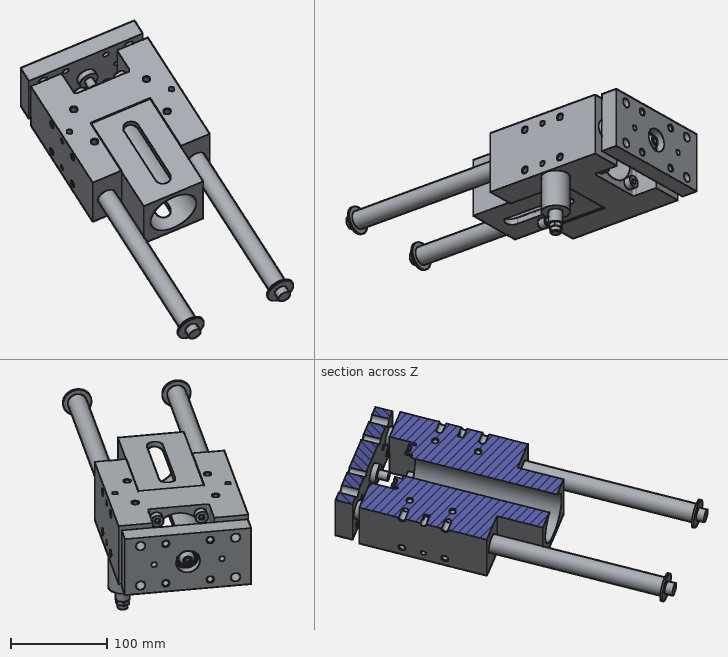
import cadquery as cq
BITE = 0.5

PLATE_THICKNESS = 19.0
PLATE_WIDTH = 133.2
PLATE_HEIGHT = 66.5

HOUSING_FRONT = 26.7
HOUSING_LENGTH = 139.8
HOUSING_WIDTH = 137.0
HOUSING_HEIGHT = 68.8
HOUSING_BACK = HOUSING_FRONT + HOUSING_LENGTH
HOUSING_TOP = HOUSING_HEIGHT / 2
HOUSING_SIDE = HOUSING_WIDTH / 2
CENTRE_X = 97.0

MOUTH_DEPTH = 30.0
MOUTH_WIDTH = 64.8
MOUTH_CORNER_RADIUS = 3.0
MOUTH_BACK = HOUSING_FRONT + MOUTH_DEPTH
BORE_DIAMETER = 53.5

BOLT_OFFSET = 23.5
THREAD_DIAMETER = 6.5
THREAD_MOUTH_DIAMETER = 8.0
DOWEL_DIAMETER = 6.0
BLIND_DEPTH = 12.8
DRILL_POINT = 2.0
TOP_THREAD_Y = 42.5
TOP_DOWEL_Y = 59.5
PLATE_BOLT_Y = 50.0
PLATE_BOLT_DIAMETER = 10.0
PLATE_DOWEL_Y = 36.0

SCREW_DIAMETER = 13.0
SCREW_HEIGHT = 7.7
SCREW_SOCKET = 6.5
SCREW_SOCKET_DEPTH = 3.5

BLOCK_LENGTH = 119.5
BLOCK_WIDTH = 69.5
BLOCK_HEIGHT = 65.0
SLOT_START = 112.7
SLOT_LENGTH = 88.2
SLOT_WIDTH = 17.0

ROD_Y = 52.5
ROD_DIAMETER = 20.0
ROD_END = 355.5
FLANGE_DIAMETER = 30.0
FLANGE_THICKNESS = 2.2
STUB_DIAMETER = 14.0
TOTAL_LENGTH = 366.0

RECESS_DIAMETER = 25.3
RECESS_DEPTH = 9.5
WASHER_DIAMETER = 21.0
WASHER_THICKNESS = 2.0
HEAD_DIAMETER = 17.5
HEAD_FACE_DIAMETER = 10.0
HEAD_FRONT = 2.2
DOME_BULGE = 0.7
HEAD_SOCKET = 7.0
HEAD_SOCKET_DEPTH = 3.5
COLLAR_DIAMETER = 21.0
COLLAR_LENGTH = 6.5
STUD_DIAMETER = 10.0
STUD_END = 36.5

SENSOR_X = 92.2
SENSOR_Y = ROD_Y
SENSOR_DIAMETER = 30.0
SENSOR_BOTTOM = -75.0
BARREL_DIAMETER = 15.0
BARREL_BOTTOM = -89.0
NUT_CORNERS = 15.0
NUT_BOTTOM = -94.0
NUT_CHAMFER = 1.5
TIP_DIAMETER = 11.0
TIP_BOTTOM = -100.0
TIP_CHAMFER = 1.0

PLUG_Z = -83.0
PLUG_NECK_DIAMETER = 9.0
PLUG_NECK_END = 9.5
PLUG_END = 20.0
PLUG_DIAMETER = 11.7
PLUG_CHAMFER = 1.0


def box(x_start, length, width, height):
    """Block from x_start, centred on the X axis."""
    return cq.Workplane("XY").box(length, width, height, (False, True, True)).translate((x_start, 0, 0))


def rod(x_start, x_end, diameter, y=0, z=0):
    """Cylinder along X."""
    return cq.Workplane("YZ", (x_start, y, z)).circle(diameter / 2).extrude(x_end - x_start)


def post(z_start, z_end, diameter, x, y):
    """Cylinder along Z."""
    return cq.Workplane("XY", (x, y, z_start)).circle(diameter / 2).extrude(z_end - z_start)


def drilled(plane, points, diameter, depth):
    """Round holes sunk against the plane's normal."""
    return cq.Workplane(plane).pushPoints(points).circle(diameter / 2).extrude(-depth)


def threaded(plane, points, depth):
    """Tapped holes with a countersunk mouth and a conical bottom."""
    mouth_radius = THREAD_MOUTH_DIAMETER / 2
    thread_radius = THREAD_DIAMETER / 2
    cutter = (
        cq.Workplane("XZ")
        .lineTo(mouth_radius, 0)
        .lineTo(thread_radius, thread_radius - mouth_radius)
        .lineTo(thread_radius, -depth)
        .lineTo(0, -depth - DRILL_POINT)
        .close()
        .revolve(360, (0, 0, 0), (0, 1, 0))
        .val()
    )
    return cq.Workplane(plane).pushPoints(points).eachpoint(lambda place: cutter.moved(place), True)


def pairs(first, second):
    """The four points (+-first, +-second)."""
    return [(a, b) for a in (-first, first) for b in (-second, second)]


def socket_screw(y, z):
    front = MOUTH_BACK - SCREW_HEIGHT
    head = rod(front, MOUTH_BACK + BITE, SCREW_DIAMETER, y, z)
    socket = cq.Workplane("YZ", (front, y, z)).polygon(6, SCREW_SOCKET).extrude(SCREW_SOCKET_DEPTH)
    return head.cut(socket)


def sensor():
    body = post(SENSOR_BOTTOM, -HOUSING_TOP + BITE, SENSOR_DIAMETER, SENSOR_X, SENSOR_Y)
    barrel = post(BARREL_BOTTOM, SENSOR_BOTTOM + BITE, BARREL_DIAMETER, SENSOR_X, SENSOR_Y)
    nut_height = BARREL_BOTTOM - NUT_BOTTOM
    nut = cq.Workplane("XY", (SENSOR_X, SENSOR_Y, NUT_BOTTOM)).polygon(6, NUT_CORNERS).extrude(nut_height)
    nut_rounding = post(NUT_BOTTOM, BARREL_BOTTOM, NUT_CORNERS, SENSOR_X, SENSOR_Y)
    nut = nut.intersect(nut_rounding.faces(">Z").chamfer(NUT_CHAMFER))
    tip = post(TIP_BOTTOM, NUT_BOTTOM, TIP_DIAMETER, SENSOR_X, SENSOR_Y).faces("<Z").chamfer(TIP_CHAMFER)
    neck = rod(SENSOR_X, SENSOR_X + PLUG_NECK_END, PLUG_NECK_DIAMETER, SENSOR_Y, PLUG_Z)
    plug = rod(SENSOR_X + PLUG_NECK_END, SENSOR_X + PLUG_END, PLUG_DIAMETER, SENSOR_Y, PLUG_Z)
    plug = plug.faces("<X or >X").chamfer(PLUG_CHAMFER)
    return body.union(barrel).union(nut).union(tip).union(neck).union(plug)


def clamp_block():
    """Block let into the housing's back, slightly lower than the housing."""
    return box(CENTRE_X, BLOCK_LENGTH, BLOCK_WIDTH, BLOCK_HEIGHT)


def clamp_slot():
    return (
        cq.Workplane("XY", (SLOT_START + SLOT_LENGTH / 2, 0, 0))
        .slot2D(SLOT_LENGTH, SLOT_WIDTH)
        .extrude(HOUSING_HEIGHT, both=True)
    )


def mouth():
    cutter = box(HOUSING_FRONT, MOUTH_DEPTH, MOUTH_WIDTH, HOUSING_HEIGHT)
    return cutter.edges("|Z and >X").fillet(MOUTH_CORNER_RADIUS)


def housing_holes():
    """Tapped and dowel holes in the top and in both long sides."""
    thread_x = (CENTRE_X - BOLT_OFFSET, CENTRE_X + BOLT_OFFSET)
    top = cq.Plane((0, 0, HOUSING_TOP), (1, 0, 0), (0, 0, 1))
    holes = threaded(top, [(x, y) for x in thread_x for y in (-TOP_THREAD_Y, TOP_THREAD_Y)], BLIND_DEPTH)
    dowels = [(CENTRE_X, -TOP_DOWEL_Y), (CENTRE_X, TOP_DOWEL_Y)]
    holes = holes.union(drilled(top, dowels, DOWEL_DIAMETER, BLIND_DEPTH))
    side = cq.Plane((0, -HOUSING_SIDE, 0), (1, 0, 0), (0, -1, 0))
    side_threads = [(x, z) for x in thread_x for z in (-BOLT_OFFSET, BOLT_OFFSET)]
    side_dowels = [(CENTRE_X, -BOLT_OFFSET), (CENTRE_X, BOLT_OFFSET)]
    near = threaded(side, side_threads, BLIND_DEPTH).union(
        drilled(side, side_dowels, DOWEL_DIAMETER, BLIND_DEPTH)
    )
    return holes.union(near).union(near.mirror("XZ"))


def make_housing():
    body = box(HOUSING_FRONT, HOUSING_LENGTH, HOUSING_WIDTH, HOUSING_HEIGHT)
    body = body.cut(box(CENTRE_X, BLOCK_LENGTH, BLOCK_WIDTH, HOUSING_HEIGHT))
    body = body.union(clamp_block()).cut(clamp_slot())
    body = body.cut(mouth()).cut(rod(MOUTH_BACK, CENTRE_X + BLOCK_LENGTH, BORE_DIAMETER))
    body = body.cut(housing_holes())
    for y, z in pairs(BOLT_OFFSET, BOLT_OFFSET):
        body = body.union(socket_screw(y, z))
    for y in (-ROD_Y, ROD_Y):
        body = body.cut(rod(HOUSING_FRONT, HOUSING_BACK, ROD_DIAMETER, y))
    return body.union(sensor())


def plate_holes():
    front = cq.Plane((0, 0, 0), (0, -1, 0), (-1, 0, 0))
    holes = drilled(front, pairs(PLATE_BOLT_Y, BOLT_OFFSET), PLATE_BOLT_DIAMETER, PLATE_THICKNESS)
    dowels = [(-PLATE_DOWEL_Y, 0), (PLATE_DOWEL_Y, 0)]
    holes = holes.union(drilled(front, dowels, DOWEL_DIAMETER, PLATE_THICKNESS))
    return holes.union(threaded(front, pairs(BOLT_OFFSET, BOLT_OFFSET), PLATE_THICKNESS))


def guide_rod(y):
    flange_back = ROD_END + FLANGE_THICKNESS
    shaft = rod(PLATE_THICKNESS - BITE, ROD_END, ROD_DIAMETER, y)
    flange = rod(ROD_END, flange_back, FLANGE_DIAMETER, y)
    stub = rod(flange_back, TOTAL_LENGTH, STUB_DIAMETER, y)
    return shaft.union(flange).union(stub)


def coupling():
    """Domed screw head on a washer in front, collar and stud behind the plate."""
    washer = rod(RECESS_DEPTH - WASHER_THICKNESS, RECESS_DEPTH + BITE, WASHER_DIAMETER)
    dome_middle = (
        (HEAD_FRONT + RECESS_DEPTH) / 2 - DOME_BULGE,
        (HEAD_DIAMETER + HEAD_FACE_DIAMETER) / 4 + DOME_BULGE,
    )
    head = (
        cq.Workplane("XY")
        .moveTo(HEAD_FRONT, 0)
        .lineTo(HEAD_FRONT, HEAD_FACE_DIAMETER / 2)
        .threePointArc(dome_middle, (RECESS_DEPTH, HEAD_DIAMETER / 2))
        .lineTo(RECESS_DEPTH, 0)
        .close()
        .revolve(360, (0, 0, 0), (1, 0, 0))
    )
    socket = cq.Workplane("YZ", (HEAD_FRONT, 0, 0)).polygon(6, HEAD_SOCKET).extrude(HEAD_SOCKET_DEPTH)
    collar = rod(PLATE_THICKNESS - BITE, PLATE_THICKNESS + COLLAR_LENGTH, COLLAR_DIAMETER)
    stud = rod(PLATE_THICKNESS, STUD_END, STUD_DIAMETER)
    return washer.union(head).cut(socket).union(collar).union(stud)


def make_slide():
    body = box(0, PLATE_THICKNESS, PLATE_WIDTH, PLATE_HEIGHT)
    body = body.cut(rod(0, RECESS_DEPTH, RECESS_DIAMETER)).cut(plate_holes())
    for y in (-ROD_Y, ROD_Y):
        body = body.union(guide_rod(y))
    return body.union(coupling())


housing = make_housing()
slide = make_slide()
result = cq.Compound.makeCompound([housing.val(), slide.val()])